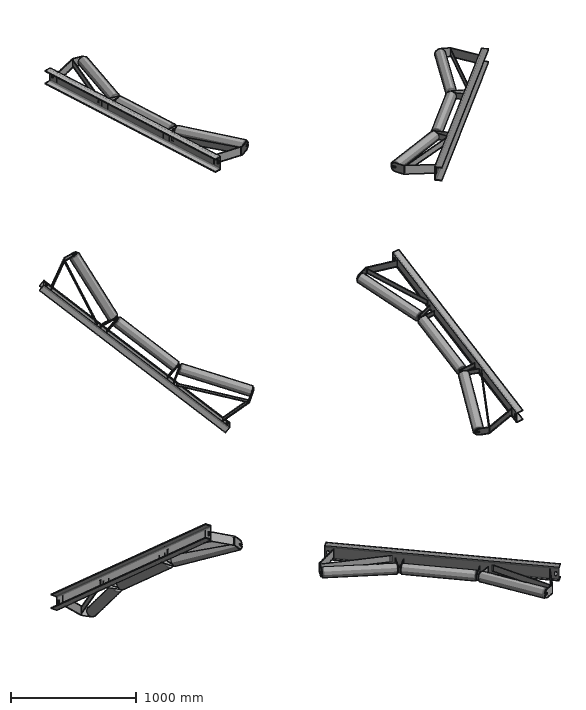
import cadquery as cq
import math

frame_length = 1900.0

channel_depth = 125.0
channel_width = 59.0
web_thickness = 5.0
flange_thickness = 8.5
channel_fillet = 8.0
mount_slot_width = 17.0
mount_slot_length = 36.0
mount_slot_inset = 27.0

roller_length = 600.0
roller_diameter = 90.0
rim_fillet = 4.0
shaft_diameter = 15.0
end_gap = 5.0
trough_angle = 20.0
forward_tilt = 1.8
centre_roller_height = 115.0
wing_middle_x = -623.0
wing_middle_height = 225.0

outer_thickness = 8.0
outer_height = 80.0
outer_lean = 15.0
bend_height = 250.0
bend_radius = 13.0
tip_height = 361.0
tip_fillet = 38.0

inner_thickness = 5.0
inner_height = 53.0
fold_height = 143.0

brace_thickness = 5.0
brace_height = 57.0
brace_angle = 25.0

foot_trim = 19.0

centre_roller_z = (roller_diameter - channel_depth) / 2
wing_middle_z = centre_roller_z + roller_length / 2 * math.sin(math.radians(forward_tilt))

bracket_face = roller_length / 2 + end_gap
outer_shaft_end = bracket_face + outer_thickness
inner_shaft_end = bracket_face + inner_thickness


def slope(angle):
    return math.tan(math.radians(angle))


def wing_axis_point(along):
    """Point (x, y) on the left wing roller's axis, measured inwards from the roller's middle."""
    angle = math.radians(trough_angle)
    return wing_middle_x + along * math.cos(angle), wing_middle_height - along * math.sin(angle)


def bracket_face_x(axis_point, height):
    """X at a given height on a plate face square to the left wing roller through axis_point."""
    return axis_point[0] + (height - axis_point[1]) * slope(trough_angle)


outer_axis = wing_axis_point(-bracket_face)
inner_axis = wing_axis_point(bracket_face)
bend = (bracket_face_x(outer_axis, bend_height), bend_height)


def bent_strip(face_points, thickness, height):
    """Upright sheet with mitred bends, its thickness to the left of the path, trimmed at the beam."""
    normals = []
    for (x0, y0), (x1, y1) in zip(face_points, face_points[1:]):
        length = math.hypot(x1 - x0, y1 - y0)
        normals.append(((y0 - y1) / length, (x1 - x0) / length))
    far_points = []
    for (x, y), before, after in zip(face_points, normals[:1] + normals, normals + normals[-1:]):
        mitre = thickness / (1 + before[0] * after[0] + before[1] * after[1])
        far_points.append((x + mitre * (before[0] + after[0]), y + mitre * (before[1] + after[1])))
    strip = (
        cq.Workplane("XY", origin=(0, 0, -height / 2))
        .polyline(face_points + far_points[::-1])
        .close()
        .extrude(height)
    )
    above_beam = cq.Workplane("XY").box(
        frame_length + 19, frame_length, height, centered=(True, False, True)
    )
    return strip.intersect(above_beam)


def make_channel():
    """Channel beam opening downwards, with an upright mounting slot near each end of its web."""
    half = channel_depth / 2
    inner = half - flange_thickness
    section = [
        (0, -half),
        (-channel_width, -half),
        (-channel_width, -inner),
        (-web_thickness, -inner),
        (-web_thickness, inner),
        (-channel_width, inner),
        (-channel_width, half),
        (0, half),
    ]
    beam = cq.Workplane("YZ").polyline(section).close().extrude(frame_length / 2, both=True)
    for corner_z in (-inner, inner):
        root = cq.selectors.NearestToPointSelector((0, -web_thickness, corner_z))
        beam = beam.edges("|X").edges(root).fillet(channel_fillet)
    slot_x = frame_length / 2 - mount_slot_inset
    slots = (
        cq.Workplane("XZ")
        .pushPoints([(-slot_x, 0), (slot_x, 0)])
        .slot2D(mount_slot_length, mount_slot_width, 90)
        .extrude(web_thickness)
    )
    return beam.cut(slots)


def make_roller(left_shaft_end, right_shaft_end):
    """Drum along X with rounded rims and a shaft reaching past both ends."""
    drum = (
        cq.Workplane("YZ", origin=(-roller_length / 2, 0, 0))
        .circle(roller_diameter / 2)
        .extrude(roller_length)
        .faces("<X or >X")
        .edges()
        .fillet(rim_fillet)
    )
    shaft = (
        cq.Workplane("YZ", origin=(-left_shaft_end, 0, 0))
        .circle(shaft_diameter / 2)
        .extrude(left_shaft_end + right_shaft_end)
    )
    return drum.union(shaft)


def make_centre_roller():
    roller = make_roller(inner_shaft_end, inner_shaft_end)
    return roller.translate((0, centre_roller_height, centre_roller_z))


def make_wing_roller():
    """Left wing roller, raised at its outer end and tilted along the beam's depth."""
    return (
        make_roller(outer_shaft_end, inner_shaft_end)
        .rotate((0, 0, 0), (0, 1, 0), forward_tilt)
        .rotate((0, 0, 0), (0, 0, 1), -trough_angle)
        .translate((wing_middle_x, wing_middle_height, wing_middle_z))
    )


def make_outer_bracket(wing_roller):
    """Left outer plate, bent once, with a rounded tip and an open slot that holds the shaft."""
    foot = (bend[0] + (bend_height + foot_trim) * slope(outer_lean), -foot_trim)
    tip_y = tip_height + outer_thickness
    tip = (bracket_face_x(outer_axis, tip_y), tip_y)
    bracket = bent_strip([foot, bend, tip], outer_thickness, outer_height)
    outer_bend_edge = cq.selectors.NearestToPointSelector((bend[0] - outer_thickness, bend_height, 0))
    bracket = bracket.edges("|Z").edges(outer_bend_edge).fillet(bend_radius)

    rounded_outline = (
        cq.Workplane("YZ")
        .rect(2 * tip_height, outer_height)
        .extrude(-frame_length)
        .edges("|X and >Y")
        .fillet(tip_fillet)
    )
    shaft_slot = cq.Workplane("XY", origin=(outer_axis[0], outer_axis[1], 0)).box(
        frame_length, tip_height, shaft_diameter, centered=(True, False, True)
    )
    return bracket.intersect(rounded_outline).cut(shaft_slot).cut(wing_roller)


def make_inner_bracket(wing_roller, centre_roller):
    """Left folded plate: its leaning leg carries the wing roller, its upright leg the middle one."""
    upright_x = -bracket_face
    path = [
        (upright_x, 0),
        (upright_x, fold_height),
        (bracket_face_x(inner_axis, fold_height), fold_height),
        (bracket_face_x(inner_axis, -foot_trim), -foot_trim),
    ]
    bracket = bent_strip(path, inner_thickness, inner_height).translate((0, 0, centre_roller_z))
    return bracket.cut(wing_roller).cut(centre_roller)


def make_brace(outer_bracket):
    """Left flat bar from the bend of the outer bracket down to the beam."""
    top = (bend[0] - outer_thickness / 2, bend_height)
    foot = (top[0] + (bend_height + foot_trim) / slope(brace_angle), -foot_trim)
    return bent_strip([foot, top], brace_thickness, brace_height).cut(outer_bracket)


channel = make_channel()
centre_roller = make_centre_roller()
wing_roller = make_wing_roller()
outer_bracket = make_outer_bracket(wing_roller)
inner_bracket = make_inner_bracket(wing_roller, centre_roller)
brace = make_brace(outer_bracket)

bodies = [channel.val(), centre_roller.val()]
for left_body in (wing_roller, outer_bracket, inner_bracket, brace):
    bodies += [left_body.val(), left_body.mirror("YZ").val()]
result = cq.Compound.makeCompound(bodies)